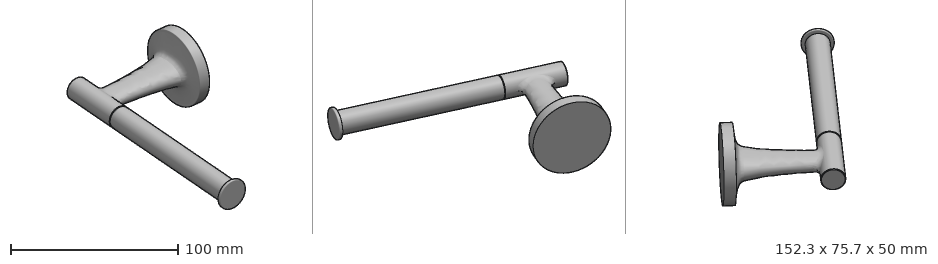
import cadquery as cq
import math

plate_diameter = 50.0
plate_thickness = 7.5
plate_edge_round = 0.5

overall_length = 152.3
overall_depth = 75.7
bar_diameter = 15.1
bar_start_x = -20.5
bar_end_chamfer = 0.5
joint_x = 20.0
joint_groove_width = 0.5
joint_groove_depth = 0.3

flange_diameter = 20.0
flange_thickness = 2.3
flange_edge_round = 0.6

stem_core_half_width = 7.9
stem_core_half_height = 4.5
taper_half_width = 7.9
taper_half_height = 4.0
flare_half_width = 8.2
flare_half_height = 14.5
taper_length_width = 21.3
taper_length_height = 30.5
flare_length = 1.4
flare_end = 5.5
flare_section_count = 11
taper_section_count = 6
stem_bar_fillet = 4.3

plate_radius = plate_diameter / 2
bar_radius = bar_diameter / 2
flange_radius = flange_diameter / 2
bar_y = -(overall_depth - flange_radius)
flange_end_x = overall_length - plate_radius
flange_start_x = flange_end_x - flange_thickness


def rod(start_x, end_x, diameter):
    """Cylinder on the bar axis between two X positions."""
    plane = cq.Workplane("YZ", origin=(start_x, bar_y, 0))
    return plane.circle(diameter / 2).extrude(end_x - start_x)


def wall_plate():
    disc = cq.Workplane("XZ").circle(plate_radius).extrude(plate_thickness)
    return disc.faces("<Y").edges().fillet(plate_edge_round)


def stem_half_size(distance, core, taper, taper_length, flare):
    """Half size of the stem at a distance in front of the plate."""
    return core + taper * math.exp(-distance / taper_length) + flare * math.exp(-distance / flare_length)


def stem_section(distance):
    """Elliptical wire across the stem at a distance in front of the plate."""
    half_width = stem_half_size(
        distance, stem_core_half_width, taper_half_width, taper_length_width, flare_half_width
    )
    half_height = stem_half_size(
        distance, stem_core_half_height, taper_half_height, taper_length_height, flare_half_height
    )
    plane = cq.Workplane("XZ", origin=(0, -plate_thickness - distance, 0))
    return plane.ellipse(half_width, half_height).val()


def stem_stretch(start, end, section_count):
    """Smooth loft through evenly spaced stem sections."""
    step = (end - start) / (section_count - 1)
    sections = [stem_section(start + index * step) for index in range(section_count)]
    return cq.Workplane(cq.Solid.makeLoft(sections))


def stem():
    """Flare at the plate, then the long taper to the bar axis."""
    flare = stem_stretch(0, flare_end, flare_section_count)
    taper = stem_stretch(flare_end, -bar_y - plate_thickness, taper_section_count)
    return flare.union(taper)


def bar():
    return rod(bar_start_x, flange_end_x, bar_diameter).faces("<X").chamfer(bar_end_chamfer)


def stop_flange():
    disc = rod(flange_start_x, flange_end_x, flange_diameter)
    return disc.faces("<X or >X").edges().fillet(flange_edge_round)


def joint_groove():
    """Ring that marks where the two halves of the bar meet."""
    start = joint_x - joint_groove_width / 2
    end = joint_x + joint_groove_width / 2
    core = rod(start, end, bar_diameter - 2 * joint_groove_depth)
    return rod(start, end, flange_diameter).cut(core)


def arm():
    """Bar and stem joined, with a fillet along their seam."""
    joined = bar().union(stem())
    reach = taper_half_width + stem_core_half_width
    seam_box = cq.selectors.BoxSelector(
        (-reach, bar_y, -bar_radius), (reach, bar_y + flange_radius, bar_radius), boundingbox=True
    )
    return joined.edges(seam_box).fillet(stem_bar_fillet)


result = arm().union(wall_plate()).union(stop_flange()).cut(joint_groove())